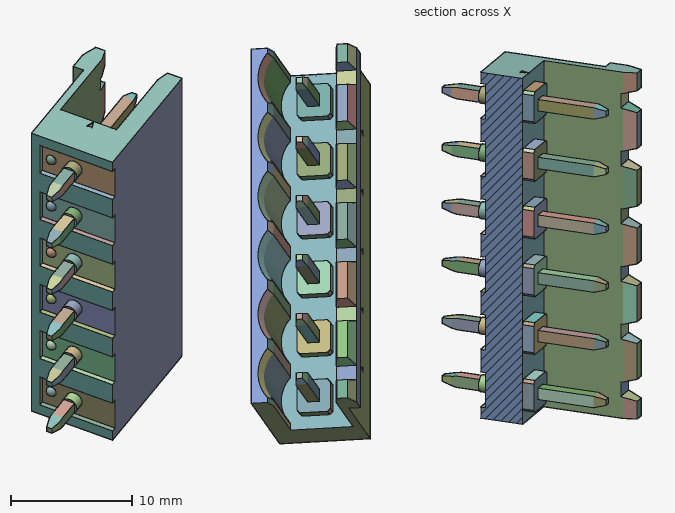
import cadquery as cq


pin_count = 6
housing_length = 30.48
pitch = housing_length / pin_count
pin_zs = [pitch * (i + 0.5) for i in range(pin_count)]
gap_zs = [pitch * i for i in range(1, pin_count)]

housing_width = 8.6
mouth_y = 11.98
cavity_floor_y = 3.75
hook_overhang = 0.98
hook_length = 3.0
hook_bevel_width = 0.5
hook_bevel_depth = 1.35
cavity_left_x = 1.68
cavity_right_x = 6.92
lead_in_width = 0.3
lead_in_depth = 1.13

pin_x = 4.8
pin_width = 1.0
pin_tip_width = 0.5
top_taper = 0.98
bottom_taper_x = 0.98
bottom_taper_z = 1.43
pin_top_y = 10.73
pin_bottom_y = -3.93
flange_width = 2.8
flange_height = 1.0
flange_chamfer = 0.25
collar_diameter = 1.43
collar_projection = 0.5

bore_radius = 2.93

notch_mouth_width = 1.92
notch_floor_width = 1.25

pocket_left_x = 1.77
pocket_height = 3.05
pocket_depth = 0.43
dome_x = 2.62
dome_radius = 0.45
dome_height = 0.4

mark_apex_y = 3.7
mark_base_y = 3.02
mark_width = 0.45
mark_depth = 0.12


def make_housing():
    outline = [
        (hook_overhang, 0),
        (housing_width, 0),
        (housing_width, mouth_y),
        (cavity_right_x + lead_in_width, mouth_y),
        (cavity_right_x, mouth_y - lead_in_depth),
        (cavity_right_x, cavity_floor_y),
        (cavity_left_x, cavity_floor_y),
        (cavity_left_x, mouth_y - lead_in_depth),
        (cavity_left_x - lead_in_width, mouth_y),
        (hook_bevel_width, mouth_y),
        (0, mouth_y - hook_bevel_depth),
        (0, mouth_y - hook_length),
        (hook_overhang, mouth_y - hook_length),
    ]
    return cq.Workplane("XY").polyline(outline).close().extrude(housing_length)


def make_bore(z):
    """Cylinder around a pin that flares into a cone at the mouth."""
    mouth_radius = bore_radius + lead_in_width
    flare_y = mouth_y - lead_in_depth
    half_section = [
        (0, cavity_floor_y),
        (bore_radius, cavity_floor_y),
        (bore_radius, flare_y),
        (mouth_radius, mouth_y),
        (0, mouth_y),
    ]
    bore = cq.Workplane("XY").polyline(half_section).close().revolve(360, (0, 0), (0, 1))
    return bore.translate((pin_x, 0, z))


def make_notch(z):
    """Trapezoidal slot through the hook wall, as deep as the hook bevel."""
    floor_y = mouth_y - hook_bevel_depth
    section = [
        (mouth_y, z - notch_mouth_width / 2),
        (mouth_y, z + notch_mouth_width / 2),
        (floor_y, z + notch_floor_width / 2),
        (floor_y, z - notch_floor_width / 2),
    ]
    return cq.Workplane("YZ").polyline(section).close().extrude(cavity_left_x)


def make_pocket(z):
    """Recess in the base with a small dome standing on its floor."""
    pocket_width = housing_width - pocket_left_x
    pocket = cq.Workplane("XY").box(
        pocket_width, pocket_depth, pocket_height, centered=(False, False, True)
    )
    pocket = pocket.translate((pocket_left_x, 0, z))
    dome_centre_y = pocket_depth - dome_height + dome_radius
    dome = cq.Workplane("XY").sphere(dome_radius).translate((dome_x, dome_centre_y, z))
    return pocket.cut(dome)


def make_side_mark(z):
    corners = [(mark_apex_y, z), (mark_base_y, z + mark_width / 2), (mark_base_y, z - mark_width / 2)]
    mark = cq.Workplane("YZ").polyline(corners).close().extrude(mark_depth)
    return mark.translate((hook_overhang, 0, 0))


def make_end_mark():
    left_x = pin_x - mark_width / 2
    right_x = pin_x + mark_width / 2
    corners = [(pin_x, mark_apex_y), (left_x, mark_base_y), (right_x, mark_base_y)]
    mark = cq.Workplane("XY").polyline(corners).close().extrude(-mark_depth)
    return mark.translate((0, 0, housing_length))


def pin_outline(bottom_taper):
    """Closed (offset, y) outline of a pin that narrows towards both tips."""
    half_width = pin_width / 2
    half_tip = pin_tip_width / 2
    right_side = [
        (half_tip, pin_bottom_y),
        (half_width, pin_bottom_y + bottom_taper),
        (half_width, pin_top_y - top_taper),
        (half_tip, pin_top_y),
    ]
    left_side = [(-offset, y) for offset, y in reversed(right_side)]
    return right_side + left_side


def make_pin(z):
    """Square pin with two tapered ends, a chamfered flange and a round collar."""
    x_profile = cq.Workplane("XY").polyline(pin_outline(bottom_taper_x)).close()
    z_points = [(y, offset) for offset, y in pin_outline(bottom_taper_z)]
    z_profile = cq.Workplane("YZ").polyline(z_points).close()
    x_prism = x_profile.extrude(pin_width / 2, both=True)
    z_prism = z_profile.extrude(pin_width / 2, both=True)
    shank = x_prism.intersect(z_prism)

    flange = cq.Workplane("XY").box(flange_width, flange_height, flange_width, centered=(True, False, True))
    flange = flange.edges("|Y").chamfer(flange_chamfer).translate((0, cavity_floor_y, 0))

    collar_length = collar_projection + cavity_floor_y
    collar = cq.Workplane("XZ").circle(collar_diameter / 2).extrude(collar_length)
    collar = collar.translate((0, cavity_floor_y, 0))

    return shank.union(flange).union(collar).translate((pin_x, 0, z))


result = make_housing().cut(make_end_mark())
for pin_z in pin_zs:
    result = result.cut(make_bore(pin_z)).cut(make_notch(pin_z)).cut(make_pocket(pin_z))
for gap_z in gap_zs:
    result = result.cut(make_side_mark(gap_z))
for pin_z in pin_zs:
    result = result.union(make_pin(pin_z))